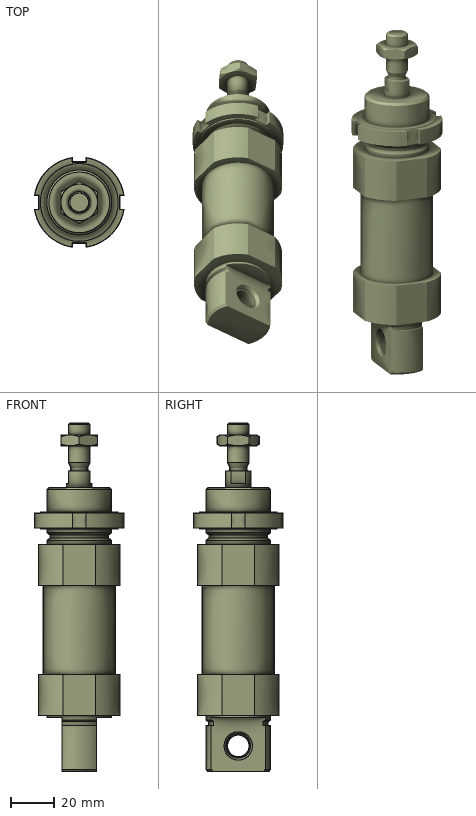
import cadquery as cq
import math


total_height = 161.5
eye_hole_height = 12.0
cap_length = 19.0
rear_cap_bottom = 26.0
rear_cap_top = rear_cap_bottom + cap_length
front_cap_bottom = 86.2
front_cap_top = front_cap_bottom + cap_length
housing_top = 131.6

barrel_diameter = 33.6
cap_across_flats = 38.0
cap_corner_diameter = 40.9
collar_diameter = 30.0
collar_chamfer = 1.0
front_groove_diameter = 27.3
front_groove_gap = 1.8
front_groove_width = 3.7
front_groove_wall = 1.1
rear_groove_diameter = 27.8
rear_groove_bottom = 21.3
rear_groove_width = 2.6
rear_groove_wall = 0.6
eye_thickness = 16.0
eye_shoulder_height = 1.0
eye_tip_diameter = 28.1
eye_tip_length = 1.1
eye_hole_diameter = 10.0
eye_recess_diameter = 11.3
eye_recess_depth = 2.3
eye_mouth_diameter = 13.1
eye_mouth_chamfer_length = 1.5
eye_notch_diameter = 2.5
eye_notch_offset = 5.2

rod_diameter = 12.0
rod_flats_width = 10.0
rod_flats_bottom = 133.5
rod_shoulder = 139.4
neck_diameter = 8.0
thread_diameter = 10.0
neck_fillet = 0.5
thread_bottom = 141.2
thread_runout = 2.1
thread_tip_chamfer = 0.6

hex_sides = 6
hex_across_flats = 17.0
hex_thickness = 5.0
hex_bottom = 151.0
hex_chamfer_angle = 30

slotted_nut_diameter = 42.0
slotted_nut_bottom = 112.9
slotted_nut_thickness = 7.0
slot_width = 6.5
slot_floor_radius = 18.5
slot_count = 4
face_ring_diameter = 36.0
face_ring_height = 0.5


def cylinder(diameter, bottom, top):
    return cq.Workplane("XY").workplane(offset=bottom).circle(diameter / 2).extrude(top - bottom)


def revolve_profile(points):
    """Solid of revolution about Z from (radius, height) points."""
    return cq.Workplane("XZ").polyline(points).close().revolve(360, (0, 0), (0, 1))


def make_cap(bottom):
    """End cap: a round block with four flats facing +-X and +-Y."""
    square = (
        cq.Workplane("XY").workplane(offset=bottom)
        .rect(cap_across_flats, cap_across_flats).extrude(cap_length)
    )
    return cylinder(cap_corner_diameter, bottom, bottom + cap_length).intersect(square)


def make_front_collar():
    """Threaded collar with a slope-sided relief groove above the front cap."""
    radius = collar_diameter / 2
    groove_radius = front_groove_diameter / 2
    groove_bottom = front_cap_top + front_groove_gap
    groove_top = groove_bottom + front_groove_width
    return revolve_profile([
        (0, front_cap_top),
        (radius, front_cap_top),
        (radius, groove_bottom),
        (groove_radius, groove_bottom + front_groove_wall),
        (groove_radius, groove_top - front_groove_wall),
        (radius, groove_top),
        (radius, housing_top - collar_chamfer),
        (radius - collar_chamfer, housing_top),
        (0, housing_top),
    ])


def make_eye_hole():
    """Cross hole along X, recessed and chamfered at both mouths, with a notch at the -X mouth."""
    bore_radius = eye_hole_diameter / 2
    recess_radius = eye_recess_diameter / 2
    mouth_radius = eye_mouth_diameter / 2
    face = eye_thickness / 2
    ledge = face - eye_recess_depth
    chamfer_end = face - eye_mouth_chamfer_length
    hole = (
        cq.Workplane("XY").polyline([
            (-face, 0),
            (-face, mouth_radius),
            (-chamfer_end, recess_radius),
            (-ledge, recess_radius),
            (-ledge, bore_radius),
            (ledge, bore_radius),
            (ledge, recess_radius),
            (chamfer_end, recess_radius),
            (face, mouth_radius),
            (face, 0),
        ]).close().revolve(360, (0, 0), (1, 0))
    )
    notch = (
        cq.Workplane("YZ").workplane(offset=-face).center(0, -eye_notch_offset)
        .circle(eye_notch_diameter / 2).extrude(eye_recess_depth)
    )
    return hole.union(notch).translate((0, 0, eye_hole_height))


def make_rear_eye():
    """Grooved round spigot cut to a flat tongue with a chamfered cross hole."""
    radius = collar_diameter / 2
    groove_radius = rear_groove_diameter / 2
    groove_top = rear_groove_bottom + rear_groove_width
    spigot = revolve_profile([
        (0, 0),
        (eye_tip_diameter / 2, 0),
        (radius, eye_tip_length),
        (radius, rear_groove_bottom),
        (groove_radius, rear_groove_bottom),
        (groove_radius, groove_top - rear_groove_wall),
        (radius, groove_top),
        (radius, rear_cap_bottom),
        (0, rear_cap_bottom),
    ])
    tongue_height = rear_cap_bottom - eye_shoulder_height
    tongue = cq.Workplane("XY").rect(eye_thickness, collar_diameter).extrude(tongue_height)
    shoulder = cylinder(collar_diameter, tongue_height, rear_cap_bottom)
    return spigot.intersect(tongue).union(shoulder).cut(make_eye_hole())


def make_housing():
    barrel = cylinder(barrel_diameter, rear_cap_top, front_cap_bottom)
    return (
        make_rear_eye()
        .union(make_cap(rear_cap_bottom))
        .union(barrel)
        .union(make_cap(front_cap_bottom))
        .union(make_front_collar())
    )


def make_rod():
    """Rod resting on the collar face, with spanner flats, a neck and a thread."""
    thread_radius = thread_diameter / 2
    neck_radius = neck_diameter / 2
    shank = cylinder(rod_diameter, housing_top, rod_shoulder)
    flats = (
        cq.Workplane("XY").workplane(offset=rod_flats_bottom)
        .rect(rod_flats_width, rod_diameter).extrude(rod_shoulder - rod_flats_bottom)
    )
    shank = shank.intersect(flats.union(cylinder(rod_diameter, housing_top, rod_flats_bottom)))
    stud = revolve_profile([
        (0, rod_shoulder),
        (neck_radius, rod_shoulder),
        (neck_radius, thread_bottom),
        (thread_radius, thread_bottom + thread_runout),
        (thread_radius, total_height - thread_tip_chamfer),
        (thread_radius - thread_tip_chamfer, total_height),
        (0, total_height),
    ])
    blank = shank.union(stud)
    neck_edges = blank.edges("%CIRCLE").edges(cq.selectors.RadiusNthSelector(0))
    return neck_edges.fillet(neck_fillet)


def make_hex_nut():
    """Hexagon nut with corners toward +-Y, bevelled on both faces."""
    face_radius = hex_across_flats / 2
    corner_radius = face_radius / math.cos(math.pi / hex_sides)
    bevel_height = (corner_radius - face_radius) * math.tan(math.radians(hex_chamfer_angle))
    hex_top = hex_bottom + hex_thickness
    prism = (
        cq.Workplane("XY").workplane(offset=hex_bottom)
        .polygon(hex_sides, 2 * corner_radius).extrude(hex_thickness)
        .rotate((0, 0, 0), (0, 0, 1), 180 / hex_sides)
    )
    bevels = revolve_profile([
        (0, hex_bottom),
        (face_radius, hex_bottom),
        (corner_radius, hex_bottom + bevel_height),
        (corner_radius, hex_top - bevel_height),
        (face_radius, hex_top),
        (0, hex_top),
    ])
    return prism.intersect(bevels).cut(cylinder(thread_diameter, hex_bottom, hex_top))


def make_slotted_nut():
    """Round nut with four spanner slots and a low raised ring on each face."""
    top = slotted_nut_bottom + slotted_nut_thickness
    nut = cylinder(slotted_nut_diameter, slotted_nut_bottom, top)
    ring_bottom = slotted_nut_bottom - face_ring_height
    ring_top = top + face_ring_height
    slot_depth = slotted_nut_diameter / 2 - slot_floor_radius
    slot = (
        cq.Workplane("XY").workplane(offset=slotted_nut_bottom)
        .center(slot_floor_radius + slot_depth / 2, 0)
        .rect(slot_depth, slot_width).extrude(slotted_nut_thickness)
    )
    for index in range(slot_count):
        nut = nut.cut(slot.rotate((0, 0, 0), (0, 0, 1), index * 360 / slot_count))
    nut = nut.union(cylinder(face_ring_diameter, ring_bottom, ring_top))
    return nut.cut(cylinder(collar_diameter, ring_bottom, ring_top))


housing = make_housing()
rod = make_rod()
hex_nut = make_hex_nut()
slotted_nut = make_slotted_nut()

result = cq.Compound.makeCompound([
    housing.solids().val(),
    rod.solids().val(),
    hex_nut.solids().val(),
    slotted_nut.solids().val(),
])